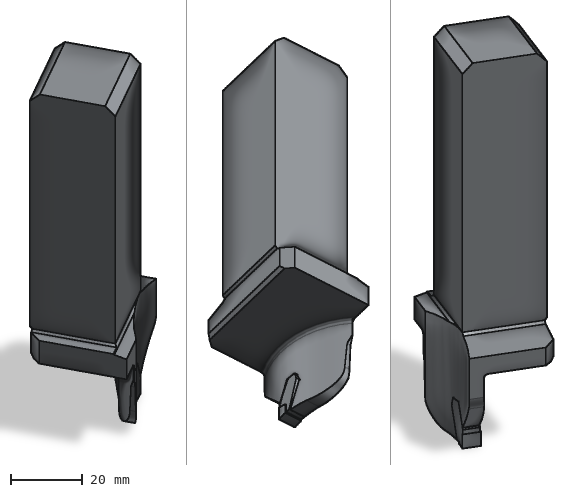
import cadquery as cq
import math

shank = 25.0
top_z = 119.6
top_chamfer = 3.0

flange_left = 0.7
flange_right = 29.4
flange_front = -4.0
flange_back = 35.5
flange_bottom = 27.5
flange_top = 35.6
corner_x = 3.2
corner_y = 2.9
bottom_chamfer = 1.1
right_slope_z = 34.6
back_slope_z = 33.1
shank_bottom = flange_top + 0.6
collar = 0.8

concave_radius = 41.9
concave_y = 24.3
convex_radius = 28.3
convex_y = 24.5
blade_left = 20.0
blade_front = 3.6
blade_bottom = 0.7
neck_top = 21.5
root_fillet = 1.2

insert_face = 19.9
tip_face = 19.5
tip_back = 25.0
tip_width = 3.0
tip_height = 3.6
tip_bottom_rise = 0.2
tip_top_rise = 1.0
insert_back = 25.2

concave_x = shank + concave_radius
convex_x = blade_left + convex_radius
concave_start_y = concave_y - math.sqrt(concave_radius**2 - (concave_x - flange_right)**2)


def cylinder_at(x, y, radius):
    return cq.Workplane("XY").center(x, y).circle(radius).extrude(shank_bottom)


def yz_prism(outline, x_from, x_to):
    return outline.extrude(x_to - x_from).translate((x_from, 0, 0))


def make_concave_cutter():
    """Cylinder that hollows the +X side, kept off the straight front part."""
    keep = cq.Workplane("XY").box(
        concave_radius, flange_back, shank_bottom, centered=False
    ).translate((blade_left, concave_start_y, 0))
    return cylinder_at(concave_x, concave_y, concave_radius).intersect(keep)


def make_shank():
    profile = (
        cq.Workplane("XZ")
        .moveTo(flange_left, flange_top)
        .lineTo(flange_left, shank_bottom)
        .lineTo(0, shank_bottom + collar)
        .lineTo(0, top_z - top_chamfer)
        .lineTo(top_chamfer, top_z)
        .lineTo(shank - top_chamfer, top_z)
        .lineTo(shank, top_z - top_chamfer)
        .lineTo(shank, flange_top)
        .close()
    )
    return profile.extrude(-shank)


def make_flange():
    """Plate with cut corners whose top slopes down towards +X and +Y."""
    plan = (
        cq.Workplane("XY", origin=(0, 0, flange_bottom))
        .moveTo(flange_left, flange_front + corner_y)
        .lineTo(flange_left + corner_x, flange_front)
        .lineTo(flange_right, flange_front)
        .lineTo(flange_right, flange_back)
        .lineTo(flange_left + corner_x, flange_back)
        .lineTo(flange_left, flange_back - corner_y)
        .close()
        .extrude(shank_bottom - flange_bottom)
    )
    front_profile = (
        cq.Workplane("XZ", origin=(0, flange_front, 0))
        .moveTo(flange_left, flange_bottom + bottom_chamfer)
        .lineTo(flange_left, shank_bottom)
        .lineTo(shank, shank_bottom)
        .lineTo(shank + collar, shank_bottom - collar)
        .lineTo(flange_right, right_slope_z)
        .lineTo(flange_right, flange_bottom)
        .lineTo(flange_left + bottom_chamfer, flange_bottom)
        .close()
        .extrude(flange_front - flange_back)
    )
    side_outline = (
        cq.Workplane("YZ")
        .moveTo(flange_front, flange_bottom)
        .lineTo(flange_front, flange_top)
        .lineTo(-collar, flange_top)
        .lineTo(0, shank_bottom)
        .lineTo(shank, shank_bottom)
        .lineTo(shank + collar, flange_top - collar / 4)
        .lineTo(flange_back, back_slope_z)
        .lineTo(flange_back, flange_bottom)
        .close()
    )
    return plan.intersect(front_profile).intersect(yz_prism(side_outline, 0, flange_right))


def make_blade():
    """Curved blade whose side outline narrows to the cutting insert."""
    side_outline = (
        cq.Workplane("YZ")
        .moveTo(blade_front, flange_bottom)
        .lineTo(blade_front, neck_top)
        .lineTo(4.5, 18.5)
        .lineTo(5.0, 9.6)
        .threePointArc((7.9, 3.0), (14.8, blade_bottom))
        .lineTo(tip_back, blade_bottom)
        .lineTo(tip_back, 6.6)
        .lineTo(33.8, 16.7)
        .threePointArc((35.0, 18.5), (flange_back, 20.6))
        .lineTo(flange_back, flange_bottom)
        .close()
    )
    blank = yz_prism(side_outline, blade_left, flange_right)
    return blank.intersect(cylinder_at(convex_x, convex_y, convex_radius))


def make_insert():
    """Slanted insert through the blade, with the cutting tip at its lower end."""
    body_outline = (
        cq.Workplane("YZ")
        .moveTo(20.6, blade_bottom)
        .lineTo(17.2, 10.3)
        .lineTo(18.0, 12.8)
        .lineTo(21.6, 13.2)
        .lineTo(insert_back, 6.0)
        .lineTo(insert_back, tip_height + tip_top_rise)
        .lineTo(tip_back - tip_width, tip_height)
        .lineTo(tip_back - tip_width, blade_bottom)
        .close()
    )
    tip_outline = (
        cq.Workplane("YZ")
        .moveTo(tip_back, 0)
        .lineTo(tip_back, tip_height + tip_top_rise)
        .lineTo(tip_back - tip_width, tip_height)
        .lineTo(tip_back - tip_width, tip_bottom_rise)
        .close()
    )
    body = yz_prism(body_outline, insert_face, flange_right)
    tip = yz_prism(tip_outline, tip_face, flange_right)
    return body.union(tip).cut(make_concave_cutter())


def make_holder(insert):
    foot = make_flange().union(make_blade())
    margin = 0.01
    root_edges = cq.selectors.BoxSelector(
        (blade_left - 1.2, blade_front - 1.2, flange_bottom - margin),
        (flange_right - margin, flange_back - margin, flange_bottom + margin),
    )
    foot = foot.edges(root_edges).fillet(root_fillet)
    return foot.cut(make_concave_cutter()).union(make_shank()).cut(insert)


insert = make_insert()
holder = make_holder(insert)
result = cq.Compound.makeCompound([holder.val(), insert.val()])